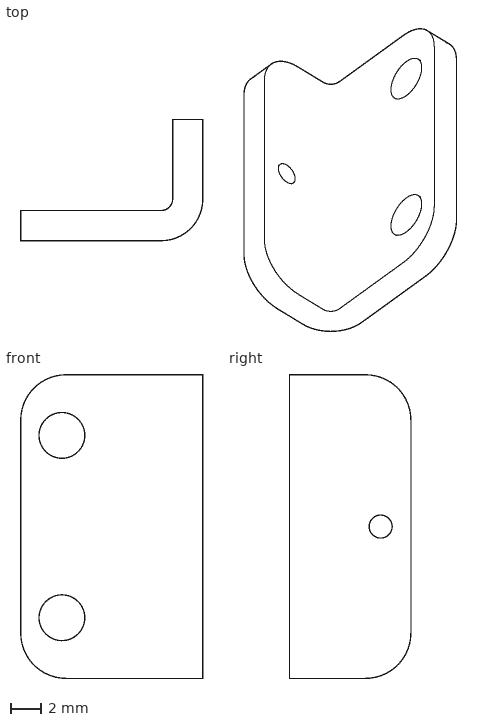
import cadquery as cq

length = 12.0
depth = 8.0
height = 20.0

thickness = 2.0
inner_bend_radius = 0.75
outer_bend_radius = inner_bend_radius + thickness

corner_radius = 3.0

mounting_hole_diameter = 3.0
mounting_hole_edge_distance = 2.72
mounting_hole_spacing = 12.0

small_hole_diameter = 1.5
small_hole_edge_distance = 2.0

mid_height = height / 2


def bent_sheet():
    """L-shaped sheet with a concentric bend, standing along Z."""
    blank = (
        cq.Workplane("XY")
        .polyline([
            (0, 0),
            (length, 0),
            (length, depth),
            (length - thickness, depth),
            (length - thickness, thickness),
            (0, thickness),
        ])
        .close()
        .extrude(height)
    )
    outer_edge = cq.selectors.NearestToPointSelector((length, 0, mid_height))
    inner_edge = cq.selectors.NearestToPointSelector((length - thickness, thickness, mid_height))
    blank = blank.edges(outer_edge).fillet(outer_bend_radius)
    return blank.edges(inner_edge).fillet(inner_bend_radius)


def round_free_corners(body):
    """Round the top and bottom corners at the free end of each flange."""
    body = body.faces("<X").edges("|Y").fillet(corner_radius)
    return body.faces(">Y").edges("|X").fillet(corner_radius)


def mounting_holes():
    """Cutters along Y through the wide flange."""
    offset = mounting_hole_spacing / 2
    return (
        cq.Workplane("XZ")
        .pushPoints([(mounting_hole_edge_distance, mid_height + side * offset) for side in (-1, 1)])
        .circle(mounting_hole_diameter / 2)
        .extrude(-thickness)
    )


def small_hole():
    """Cutter along X through the short flange."""
    return (
        cq.Workplane("YZ", origin=(length - thickness, 0, 0))
        .center(depth - small_hole_edge_distance, mid_height)
        .circle(small_hole_diameter / 2)
        .extrude(thickness)
    )


result = round_free_corners(bent_sheet()).cut(mounting_holes()).cut(small_hole())